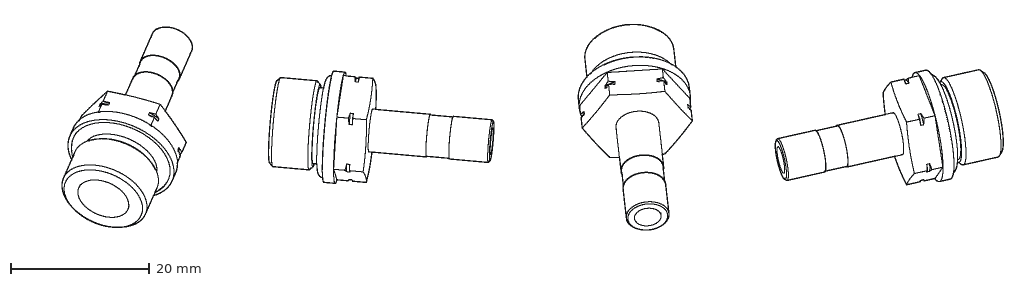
import cadquery as cq
import math

total_length = 31.8

thread_radius = 6.5
thread_chamfer = 0.5
thread_length = 6.3
neck_radius = 5.53

flange_radius = 8.093
flange_start = 8.08
flange_end = 9.73

ring_section_radius = 1.0
ring_center_radius = neck_radius + ring_section_radius

hex_end = 14.18
hex_across_flats = 13.85
hex_corner_radius = hex_across_flats / math.sqrt(3)
hex_bevel_radius = hex_across_flats / 2
hex_bevel_height = 0.15

notch_floor_radius = 7.57
notch_top = 12.02
notch_floor_width = 0.45
notch_flare = 0.2

stem_radius = 3.12
stem_chamfer = 0.22
stem_groove_radius = 3.02
stem_groove_start = 22.58
stem_groove_end = 25.92

bore_radius = 3.88
bore_depth = flange_end
through_radius = 1.95
cone_half_angle = 45.0
cone_length = (bore_radius - through_radius) / math.tan(math.radians(cone_half_angle))


def turn(profile):
    """Revolve a closed XY profile, drawn at positive X, about the Y axis."""
    return profile.close().revolve(360, (0, 0, 0), (0, 1, 0))


def make_turned_blank():
    """Thread, neck, flange and stem, with the O-ring seat in the flange face."""
    seat_outer_radius = ring_center_radius + ring_section_radius
    return turn(
        cq.Workplane("XY")
        .moveTo(0, 0)
        .lineTo(thread_radius - thread_chamfer, 0)
        .lineTo(thread_radius, thread_chamfer)
        .lineTo(thread_radius, thread_length - thread_chamfer)
        .lineTo(thread_radius - thread_chamfer, thread_length)
        .lineTo(neck_radius, thread_length)
        .lineTo(neck_radius, flange_start)
        .threePointArc(
            (ring_center_radius, flange_start + ring_section_radius),
            (seat_outer_radius, flange_start),
        )
        .lineTo(flange_radius, flange_start)
        .lineTo(flange_radius, flange_end)
        .lineTo(stem_radius, flange_end)
        .lineTo(stem_radius, stem_groove_start)
        .lineTo(stem_groove_radius, stem_groove_start)
        .lineTo(stem_groove_radius, stem_groove_end)
        .lineTo(stem_radius, stem_groove_end)
        .lineTo(stem_radius, total_length - stem_chamfer)
        .lineTo(stem_radius - stem_chamfer, total_length)
        .lineTo(0, total_length)
    )


def make_hexagon():
    """Hexagon with corners on the X axis, a beveled end and notched corners."""
    prism = (
        cq.Workplane("XZ", origin=(0, flange_end, 0))
        .polygon(6, 2 * hex_corner_radius)
        .extrude(flange_end - hex_end)
    )
    notch_floor_bottom = notch_top - notch_floor_width
    envelope = turn(
        cq.Workplane("XY")
        .moveTo(0, flange_end)
        .lineTo(hex_corner_radius, flange_end)
        .lineTo(hex_corner_radius, notch_floor_bottom - notch_flare)
        .lineTo(notch_floor_radius, notch_floor_bottom)
        .lineTo(notch_floor_radius, notch_top)
        .lineTo(hex_corner_radius, notch_top)
        .lineTo(hex_corner_radius, hex_end - hex_bevel_height)
        .lineTo(hex_bevel_radius, hex_end)
        .lineTo(0, hex_end)
    )
    return prism.intersect(envelope)


def make_bore():
    """Volume removed along the axis."""
    return turn(
        cq.Workplane("XY")
        .moveTo(0, 0)
        .lineTo(bore_radius, 0)
        .lineTo(bore_radius, bore_depth)
        .lineTo(through_radius, bore_depth + cone_length)
        .lineTo(through_radius, total_length)
        .lineTo(0, total_length)
    )


def make_o_ring():
    """Ring of round section, centered in the plane of the flange face."""
    return (
        cq.Workplane("XY")
        .center(ring_center_radius, flange_start)
        .circle(ring_section_radius)
        .revolve(360, (-ring_center_radius, 0, 0), (-ring_center_radius, 1, 0))
    )


fitting = make_turned_blank().union(make_hexagon()).cut(make_bore())
o_ring = make_o_ring()

result = cq.Compound.makeCompound([fitting.solids().val(), o_ring.val()])